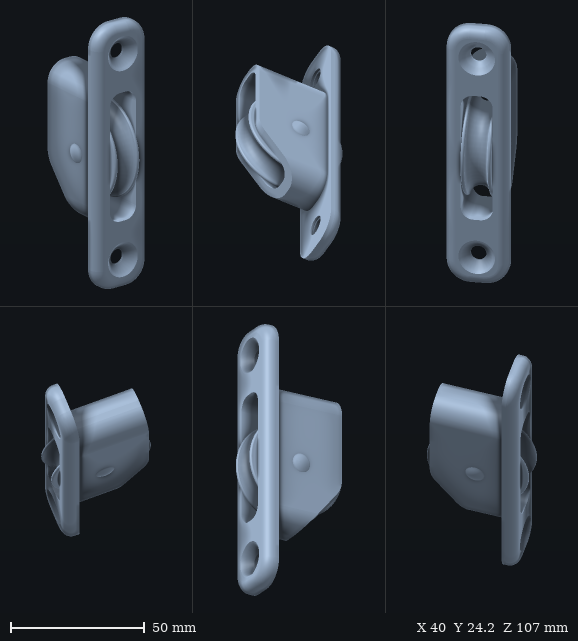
import cadquery as cq
import math

PLATE_LENGTH = 107.0
PLATE_WIDTH = 24.2
PLATE_BACK_X = 11.3
PLATE_THICKNESS = 5.7
PLATE_CORNER_RADIUS = 9.2
PLATE_EDGE_RADIUS = 4.0
PLATE_FRONT_X = PLATE_BACK_X + PLATE_THICKNESS

SCREW_SPACING = 83.0
SCREW_HOLE_DIAMETER = 6.0
SCREW_RECESS_DIAMETER = 7.9
SCREW_RECESS_DEPTH = 1.0
COUNTERSINK_DIAMETER = 13.9
COUNTERSINK_DEPTH = 3.7

HOUSING_BACK_X = -17.7
HOUSING_HEIGHT = 58.0
HOUSING_WIDTH = 18.4
HOUSING_CORNER_RADIUS = 7.9
HOUSING_WALL = 3.1
HOUSING_BOTTOM_Z = -HOUSING_HEIGHT / 2

SLOPE_START_Z = -8.7
SLOPE_END_X = -0.7
SLOPE_BLEND_RADIUS = 10.0

AXLE_Z = -1.9
WHEEL_RADIUS = 20.0
WHEEL_WIDTH = 11.6
WHEEL_RIM_RADIUS = 0.7
GROOVE_DEPTH = 4.2
AXLE_DIAMETER = 7.5
DOME_HEIGHT = 1.0


def rounded_bar(start_x, end_x, width, height, corner_radius):
    """Block from start_x to end_x with its four long edges rounded."""
    return (
        cq.Workplane("YZ", origin=(start_x, 0, 0))
        .rect(width, height)
        .extrude(end_x - start_x)
        .edges("|X")
        .fillet(corner_radius)
    )


def make_plate():
    plate = rounded_bar(PLATE_BACK_X, PLATE_FRONT_X, PLATE_WIDTH, PLATE_LENGTH, PLATE_CORNER_RADIUS)
    return plate.faces(">X").edges().fillet(PLATE_EDGE_RADIUS)


def screw_bores(diameter, depth):
    """Pair of cylinders reaching into the plate from its back face."""
    half_spacing = SCREW_SPACING / 2
    return (
        cq.Workplane("YZ", origin=(PLATE_BACK_X, 0, 0))
        .pushPoints([(0, half_spacing), (0, -half_spacing)])
        .circle(diameter / 2)
        .extrude(depth)
    )


def make_countersinks():
    """Pair of cones that widen from the screw holes to the front face."""
    half_spacing = SCREW_SPACING / 2
    cone = cq.Workplane(
        cq.Solid.makeCone(
            SCREW_HOLE_DIAMETER / 2,
            COUNTERSINK_DIAMETER / 2,
            COUNTERSINK_DEPTH,
            cq.Vector(PLATE_FRONT_X - COUNTERSINK_DEPTH, 0, 0),
            cq.Vector(1, 0, 0),
        )
    )
    return cone.translate((0, 0, half_spacing)).add(cone.translate((0, 0, -half_spacing))).combine()


def make_housing():
    housing = rounded_bar(
        HOUSING_BACK_X, PLATE_BACK_X, HOUSING_WIDTH, HOUSING_HEIGHT, HOUSING_CORNER_RADIUS
    )
    side_profile = (
        cq.Workplane("XZ")
        .moveTo(HOUSING_BACK_X, -HOUSING_BOTTOM_Z)
        .lineTo(PLATE_BACK_X, -HOUSING_BOTTOM_Z)
        .lineTo(PLATE_BACK_X, HOUSING_BOTTOM_Z)
        .lineTo(SLOPE_END_X, HOUSING_BOTTOM_Z)
        .lineTo(HOUSING_BACK_X, SLOPE_START_Z)
        .close()
        .extrude(HOUSING_WIDTH / 2, both=True)
    )
    slope_corner = cq.selectors.NearestToPointSelector((HOUSING_BACK_X, 0, SLOPE_START_Z))
    side_profile = side_profile.edges("|Y").edges(slope_corner).fillet(SLOPE_BLEND_RADIUS)
    return housing.intersect(side_profile)


def make_opening():
    """Wheel opening, running through the housing and the plate."""
    return rounded_bar(
        HOUSING_BACK_X,
        PLATE_FRONT_X,
        HOUSING_WIDTH - 2 * HOUSING_WALL,
        HOUSING_HEIGHT - 2 * HOUSING_WALL,
        HOUSING_CORNER_RADIUS - HOUSING_WALL,
    )


def make_wheel():
    """Grooved wheel whose two rims are rounded over their full thickness."""
    half_width = WHEEL_WIDTH / 2
    rim_y = half_width - WHEEL_RIM_RADIUS
    groove_y = half_width - 2 * WHEEL_RIM_RADIUS
    rim_base_radius = WHEEL_RADIUS - WHEEL_RIM_RADIUS
    return (
        cq.Workplane("XY", origin=(0, 0, AXLE_Z))
        .moveTo(0, -half_width)
        .lineTo(rim_base_radius, -half_width)
        .threePointArc((WHEEL_RADIUS, -rim_y), (rim_base_radius, -groove_y))
        .threePointArc((WHEEL_RADIUS - GROOVE_DEPTH, 0), (rim_base_radius, groove_y))
        .threePointArc((WHEEL_RADIUS, rim_y), (rim_base_radius, half_width))
        .lineTo(0, half_width)
        .close()
        .revolve(360, (0, 0, 0), (0, 1, 0))
    )


def make_axle():
    """Pin across the housing with a shallow dome at each end."""
    radius = AXLE_DIAMETER / 2
    half_grip = HOUSING_WIDTH / 2
    tip = half_grip + DOME_HEIGHT
    dome_radius = (radius**2 + DOME_HEIGHT**2) / (2 * DOME_HEIGHT)
    half_angle = math.asin(radius / dome_radius) / 2
    mid_radius = dome_radius * math.sin(half_angle)
    mid_y = tip - dome_radius * (1 - math.cos(half_angle))
    return (
        cq.Workplane("XY", origin=(0, 0, AXLE_Z))
        .moveTo(0, -tip)
        .threePointArc((mid_radius, -mid_y), (radius, -half_grip))
        .lineTo(radius, half_grip)
        .threePointArc((mid_radius, mid_y), (0, tip))
        .close()
        .revolve(360, (0, 0, 0), (0, 1, 0))
    )


frame = (
    make_plate()
    .union(make_housing())
    .cut(make_opening())
    .cut(screw_bores(SCREW_HOLE_DIAMETER, PLATE_THICKNESS))
    .cut(screw_bores(SCREW_RECESS_DIAMETER, SCREW_RECESS_DEPTH))
    .cut(make_countersinks())
)
result = frame.union(make_wheel()).union(make_axle())